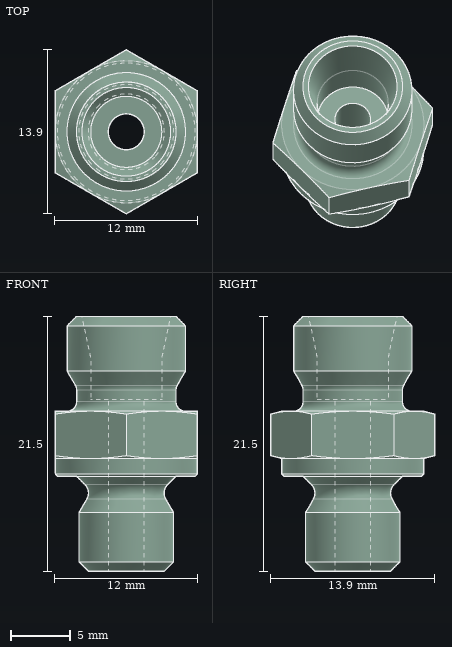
import cadquery as cq
import math

total_height = 21.5
flange_bottom = 8.0
hex_bottom = 9.5
hex_top = 13.5

across_flats = 12.0
hex_chamfer_angle = math.radians(15)
flange_radius = across_flats / 2
flange_chamfer = 0.2

upper_radius = 10.0 / 2
upper_neck_radius = 8.4 / 2
upper_chamfer = upper_radius - upper_neck_radius
upper_shoulder = 16.88
upper_fillet = 0.8

lower_radius = 8.0 / 2
lower_chamfer = 0.8
lower_shoulder = 4.95
lower_neck_radius = 3.2
lower_fillet = 1.0
undercut_angle = math.radians(30)
flare_angle = math.radians(45)

through_diameter = 3.0
tube_radius = 6.0 / 2
tube_bore_depth = 7.0
cone_mouth_radius = 3.75
cone_half_angle = math.radians(12)


def neck_point(neck_radius, fillet, center_z, angle):
    """Point on a concave neck arc; the angle is measured up from its narrowest section."""
    return (
        neck_radius + fillet * (1 - math.cos(angle)),
        center_z + fillet * math.sin(angle),
    )


def lower_profile():
    """Threaded lower stub with a rounded undercut and a flare below the flange."""
    undercut_end_radius = lower_neck_radius + lower_fillet * (1 - math.cos(undercut_angle))
    undercut_end_z = lower_shoulder + (lower_radius - undercut_end_radius) / math.tan(undercut_angle)
    arc_center_z = undercut_end_z + lower_fillet * math.sin(undercut_angle)
    flare_start = neck_point(lower_neck_radius, lower_fillet, arc_center_z, flare_angle)
    flare_end_radius = flare_start[0] + (flange_bottom - flare_start[1]) * math.tan(flare_angle)
    return (
        cq.Workplane("XZ")
        .lineTo(lower_radius - lower_chamfer, 0)
        .lineTo(lower_radius, lower_chamfer)
        .lineTo(lower_radius, lower_shoulder)
        .lineTo(undercut_end_radius, undercut_end_z)
        .threePointArc((lower_neck_radius, arc_center_z), flare_start)
        .lineTo(flare_end_radius, flange_bottom)
    )


def turned_body():
    """Revolved body: lower stub, flange, a core inside the hexagon, and upper stub."""
    foot_center_z = hex_top + upper_fillet
    foot_middle = neck_point(upper_neck_radius, upper_fillet, foot_center_z, -math.radians(45))
    undercut_radius = upper_neck_radius + upper_fillet * (1 - math.cos(undercut_angle))
    undercut_z = upper_shoulder - (upper_radius - undercut_radius) / math.tan(undercut_angle)
    neck_top = undercut_z - upper_fillet * math.sin(undercut_angle)
    neck_arc_middle = neck_point(upper_neck_radius, upper_fillet, neck_top, undercut_angle / 2)
    return (
        lower_profile()
        .lineTo(flange_radius - flange_chamfer, flange_bottom)
        .lineTo(flange_radius, flange_bottom + flange_chamfer)
        .lineTo(flange_radius, hex_bottom)
        .lineTo(upper_neck_radius + upper_fillet, hex_bottom)
        .lineTo(upper_neck_radius + upper_fillet, hex_top)
        .threePointArc(foot_middle, (upper_neck_radius, foot_center_z))
        .lineTo(upper_neck_radius, neck_top)
        .threePointArc(neck_arc_middle, (undercut_radius, undercut_z))
        .lineTo(upper_radius, upper_shoulder)
        .lineTo(upper_radius, total_height - upper_chamfer)
        .lineTo(upper_radius - upper_chamfer, total_height)
        .lineTo(0, total_height)
        .close()
        .revolve(360, (0, 0, 0), (0, 1, 0))
    )


def hexagon():
    """Hexagon with corners on the Y axis, its corners turned off conically at both ends."""
    corner_radius = flange_radius / math.cos(math.radians(30))
    corner_drop = (corner_radius - flange_radius) * math.tan(hex_chamfer_angle)
    prism = (
        cq.Workplane("XY", origin=(0, 0, hex_bottom))
        .polygon(6, 2 * corner_radius)
        .extrude(hex_top - hex_bottom)
        .rotate((0, 0, 0), (0, 0, 1), 30)
    )
    envelope = (
        cq.Workplane("XZ")
        .moveTo(0, hex_bottom)
        .lineTo(flange_radius, hex_bottom)
        .lineTo(corner_radius, hex_bottom + corner_drop)
        .lineTo(corner_radius, hex_top - corner_drop)
        .lineTo(flange_radius, hex_top)
        .lineTo(0, hex_top)
        .close()
        .revolve(360, (0, 0, 0), (0, 1, 0))
    )
    return prism.intersect(envelope)


def tube_socket():
    """Tapered mouth followed by a flat-bottomed tube bore, open at the upper end."""
    cone_depth = (cone_mouth_radius - tube_radius) / math.tan(cone_half_angle)
    return (
        cq.Workplane("XZ")
        .moveTo(0, total_height)
        .lineTo(cone_mouth_radius, total_height)
        .lineTo(tube_radius, total_height - cone_depth)
        .lineTo(tube_radius, total_height - tube_bore_depth)
        .lineTo(0, total_height - tube_bore_depth)
        .close()
        .revolve(360, (0, 0, 0), (0, 1, 0))
    )


through_bore = cq.Workplane("XY").circle(through_diameter / 2).extrude(total_height)
result = turned_body().union(hexagon()).cut(tube_socket()).cut(through_bore)